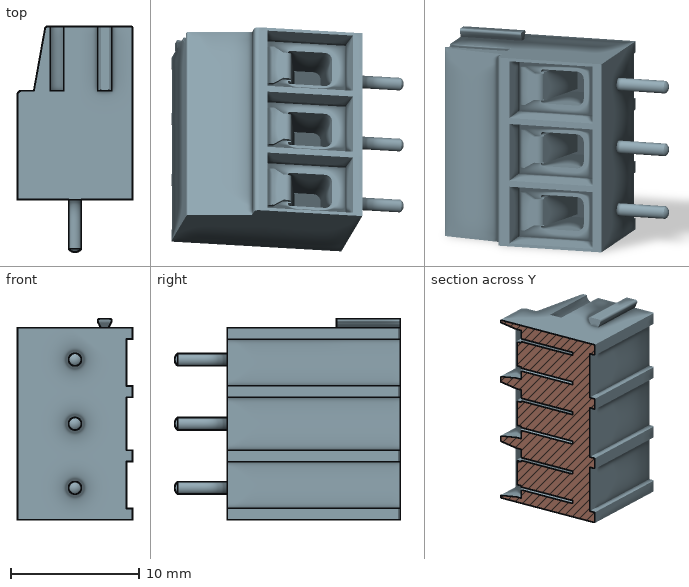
import cadquery as cq
import math

pole_count = 3
pole_pitch = 5.0
overall_length = 17.6
block_width = 9.0
block_length = 13.5
block_height = pole_count * pole_pitch

shoulder_depth = 5.0
shoulder_ledge = 1.28
crest_inset = 2.18
shoulder_fillet = 0.35
crest_fillet = 0.21
back_fillet = 0.15

tab_height = 0.9
recess_depth = 0.48

rib_center_x = 6.81
rib_root_width = 0.65
rib_tip_width = 1.3
rib_height = 0.69
rib_fillet = 0.15
groove_center_x = 3.1
groove_radius = 0.53

pin_center_x = block_width / 2
pin_radius = 0.5
pin_length = overall_length - block_length
pin_dome_height = 0.26
pin_root_depth = 0.35

pocket_y_min = 0.74
pocket_y_max = 7.5
pocket_height = 4.52
pocket_depth = 1.94
pocket_inset = 0.23
funnel_depth = 1.5

slot_y_min = 2.05
slot_y_max = 5.53
slot_height = 2.71
slot_outer_radius = 0.58
slot_inner_radius = 0.15
slot_depth = 4.93

guard_y_min = 5.28
guard_y_max = 7.2
guard_rise = 0.45
guard_head_width = 3.0
guard_taper_y_end = 5.97
guard_neck_width = 2.06
tail_y_end = 4.1
tail_width = 2.27

shoulder_y = block_length - shoulder_depth
slot_floor_x = pocket_depth + slot_depth
overlap = 0.18


def pole_center(index):
    return (index + 0.5) * pole_pitch


def box(x_range, y_range, z_range):
    size = [high - low for low, high in (x_range, y_range, z_range)]
    corner = (x_range[0], y_range[0], z_range[0])
    return cq.Workplane("XY").box(*size, centered=False).translate(corner)


def make_block():
    outline = [
        (0, 0),
        (block_width, 0),
        (block_width, block_length),
        (crest_inset, block_length),
        (shoulder_ledge, shoulder_y),
        (0, shoulder_y),
    ]
    block = cq.Workplane("XY").polyline(outline).close().extrude(block_height)

    def round_edge(body, x, y, radius):
        selector = cq.selectors.NearestToPointSelector((x, y, block_height / 2))
        return body.edges("|Z").edges(selector).fillet(radius)

    block = round_edge(block, 0, shoulder_y, shoulder_fillet)
    block = round_edge(block, crest_inset, block_length, crest_fillet)
    return round_edge(block, block_width, block_length, back_fillet)


def cut_back_recesses(body):
    """Leave one tab at each end of the back face and one between neighbouring poles."""
    for index in range(pole_count):
        is_first = index == 0
        is_last = index == pole_count - 1
        z_min = index * pole_pitch + (tab_height if is_first else tab_height / 2)
        z_max = (index + 1) * pole_pitch - (tab_height if is_last else tab_height / 2)
        recess = box(
            (block_width - recess_depth, block_width + overlap),
            (-overlap, block_length + overlap),
            (z_min, z_max),
        )
        body = body.cut(recess)
    return body


def make_rib():
    profile = [
        (rib_center_x - rib_root_width / 2, block_height),
        (rib_center_x + rib_root_width / 2, block_height),
        (rib_center_x + rib_tip_width / 2, block_height + rib_height),
        (rib_center_x - rib_tip_width / 2, block_height + rib_height),
    ]
    rib = cq.Workplane("XZ", origin=(0, block_length, 0)).polyline(profile).close().extrude(shoulder_depth)
    return rib.edges("|Y and >Z").fillet(rib_fillet)


def make_groove():
    return (
        cq.Workplane("XZ", origin=(0, block_length, 0))
        .center(groove_center_x, block_height)
        .circle(groove_radius)
        .extrude(shoulder_depth)
    )


def make_pin(z):
    """Round pin with a domed end, revolved about its own axis."""
    sphere_radius = (pin_radius**2 + pin_dome_height**2) / (2 * pin_dome_height)
    sphere_center_y = sphere_radius - pin_length
    half_angle = math.asin(pin_radius / sphere_radius) / 2
    dome_middle = (
        -sphere_radius * math.sin(half_angle),
        sphere_center_y - sphere_radius * math.cos(half_angle),
    )
    half_profile = (
        cq.Workplane("XY", origin=(pin_center_x, 0, z))
        .moveTo(0, pin_root_depth)
        .lineTo(-pin_radius, pin_root_depth)
        .lineTo(-pin_radius, pin_dome_height - pin_length)
        .threePointArc(dome_middle, (0, -pin_length))
        .close()
    )
    return half_profile.revolve(360, (0, 0, 0), (0, 1, 0))


def make_pocket(z):
    """Mouth that narrows evenly to a straight-walled bottom."""
    mouth_length = pocket_y_max - pocket_y_min
    bottom_length = mouth_length - 2 * pocket_inset
    bottom_height = pocket_height - 2 * pocket_inset
    pocket_center_y = (pocket_y_min + pocket_y_max) / 2
    funnel = (
        cq.Workplane("YZ", origin=(0, pocket_center_y, z))
        .rect(mouth_length, pocket_height)
        .workplane(offset=funnel_depth)
        .rect(bottom_length, bottom_height)
        .loft(ruled=True)
    )
    bottom = (
        cq.Workplane("YZ", origin=(funnel_depth, pocket_center_y, z))
        .rect(bottom_length, bottom_height)
        .extrude(pocket_depth - funnel_depth)
    )
    return funnel.union(bottom)


def make_slot(z):
    slot = box(
        (pocket_depth - overlap, slot_floor_x),
        (slot_y_min, slot_y_max),
        (z - slot_height / 2, z + slot_height / 2),
    )
    slot = slot.edges("|X and <Y").fillet(slot_outer_radius)
    return slot.edges("|X and >Y").fillet(slot_inner_radius)


def make_guard(z):
    """Flared plate with both ends rounded over."""
    outline = [
        (guard_y_max, guard_head_width / 2),
        (guard_y_max - guard_rise, guard_head_width / 2),
        (guard_taper_y_end, guard_neck_width / 2),
        (guard_y_min, guard_neck_width / 2),
    ]
    mirrored_outline = [(y, -half_width) for y, half_width in reversed(outline)]
    face_x = pocket_depth - guard_rise
    plate = (
        cq.Workplane("YZ", origin=(face_x, 0, z))
        .polyline(outline + mirrored_outline)
        .close()
        .extrude(guard_rise + overlap)
    )
    arc_offset = guard_rise * math.sin(math.pi / 4)
    arc_center_y_min = guard_y_min + guard_rise
    arc_center_y_max = guard_y_max - guard_rise
    arc_middle_x = pocket_depth - arc_offset
    rounded_side = (
        cq.Workplane("XY", origin=(0, 0, z - guard_head_width / 2))
        .moveTo(pocket_depth + overlap, guard_y_min)
        .lineTo(pocket_depth, guard_y_min)
        .threePointArc((arc_middle_x, arc_center_y_min - arc_offset), (face_x, arc_center_y_min))
        .lineTo(face_x, arc_center_y_max)
        .threePointArc((arc_middle_x, arc_center_y_max + arc_offset), (pocket_depth, guard_y_max))
        .lineTo(pocket_depth + overlap, guard_y_max)
        .close()
        .extrude(guard_head_width)
    )
    return plate.intersect(rounded_side)


def make_guard_tail(z):
    """Wedge that leads from the end of the guard down to the slot floor."""
    side = [
        (pocket_depth, guard_y_min),
        (slot_floor_x, tail_y_end),
        (slot_floor_x, slot_y_max),
        (pocket_depth, slot_y_max),
    ]
    return cq.Workplane("XY", origin=(0, 0, z - tail_width / 2)).polyline(side).close().extrude(tail_width)


result = cut_back_recesses(make_block()).cut(make_groove()).union(make_rib())
for pole in range(pole_count):
    center_z = pole_center(pole)
    result = result.cut(make_pocket(center_z)).cut(make_slot(center_z))
    result = result.union(make_guard(center_z)).union(make_guard_tail(center_z))
    result = result.union(make_pin(center_z))